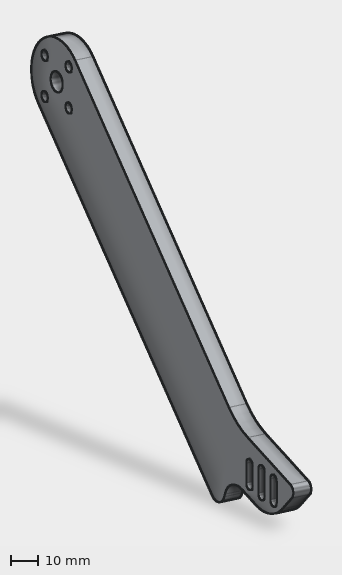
import cadquery as cq
import math

thickness = 8.0

head_radius = 17.0
arm_angle = 46.15
arm_upper_length = 155.55
arm_lower_length = 175.0

tail_angle = 20.14
tail_upper_length = 42.75
tail_lower_length = 29.75
tail_end_angle = 43.36
tail_end_length = 23.95

root_radius = 33.4
tip_radius = 3.0
belly_radius = 17.1
notch_radius = 8.4
arm_end_radius = 4.9

center_hole_diameter = 8.0
bolt_hole_diameter = 4.16
bolt_hole_spacing = 16.0

slot_width = 4.3
slot_pitch = 8.0
first_slot_x = 128.4
slot_heights_and_centers = [
    (12.0, -117.15),
    (13.6, -118.1),
    (12.4, -119.0),
]


def step(start, angle, length, side=0.0):
    """Point reached from start along an angle (degrees), then moved sideways to the left."""
    direction_x = math.cos(math.radians(angle))
    direction_z = math.sin(math.radians(angle))
    return (
        start[0] + length * direction_x - side * direction_z,
        start[1] + length * direction_z + side * direction_x,
    )


def extrude_centered(profile):
    return profile.extrude(thickness / 2, both=True)


def round_corner(body, corner, radius):
    """Round the through-thickness edge that stands at an XZ corner."""
    corner_edge = cq.selectors.NearestToPointSelector((corner[0], 0, corner[1]))
    return body.edges("|Y").edges(corner_edge).fillet(radius)


def make_body():
    head_center = (0.0, 0.0)
    head_upper = step(head_center, -arm_angle, 0, head_radius)
    head_back = step(head_center, -arm_angle, -head_radius)
    head_lower = step(head_center, -arm_angle, 0, -head_radius)

    tail_root = step(head_upper, -arm_angle, arm_upper_length)
    tail_tip = step(tail_root, -tail_angle, tail_upper_length)
    tail_belly = step(tail_tip, tail_end_angle, -tail_end_length)
    notch = step(tail_belly, -tail_angle, -tail_lower_length)
    arm_end = step(head_lower, -arm_angle, arm_lower_length)

    profile = (
        cq.Workplane("XZ")
        .moveTo(*head_lower)
        .threePointArc(head_back, head_upper)
        .lineTo(*tail_root)
        .lineTo(*tail_tip)
        .lineTo(*tail_belly)
        .lineTo(*notch)
        .lineTo(*arm_end)
        .close()
    )
    body = extrude_centered(profile)

    corner_radii = [
        (tail_root, root_radius),
        (tail_tip, tip_radius),
        (tail_belly, belly_radius),
        (notch, notch_radius),
        (arm_end, arm_end_radius),
    ]
    for corner, radius in corner_radii:
        body = round_corner(body, corner, radius)
    return body


def make_head_holes():
    center_hole = cq.Workplane("XZ").circle(center_hole_diameter / 2)
    bolt_holes = (
        cq.Workplane("XZ")
        .rect(bolt_hole_spacing, bolt_hole_spacing, forConstruction=True)
        .vertices()
        .circle(bolt_hole_diameter / 2)
    )
    return extrude_centered(center_hole).union(extrude_centered(bolt_holes))


def make_tail_slots():
    slots = cq.Workplane("XZ")
    for index, (height, center_z) in enumerate(slot_heights_and_centers):
        center_x = first_slot_x + index * slot_pitch
        slot = cq.Workplane("XZ").center(center_x, center_z).slot2D(height, slot_width, 90)
        slots = slots.add(extrude_centered(slot))
    return slots.combine()


result = make_body().cut(make_head_holes()).cut(make_tail_slots())